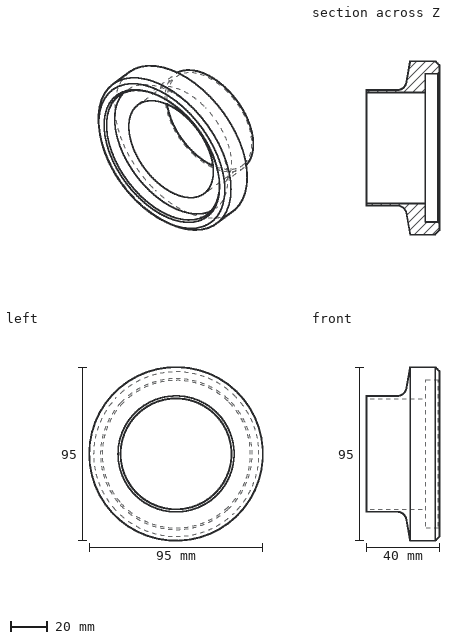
import cadquery as cq
import math

total_length = 40.0
flange_diameter = 95.0
neck_diameter = 63.5
bore_diameter = 60.5
bore_length = 32.2
recess_diameter = 80.8
recess_chamfer = 0.95
flange_start = 23.8
back_slope = 10.0
neck_fillet = 4.8
rim_chamfer = 2.4

flange_radius = flange_diameter / 2
neck_radius = neck_diameter / 2
bore_radius = bore_diameter / 2
recess_radius = recess_diameter / 2

back_root = flange_start - (flange_radius - neck_radius) * math.tan(math.radians(back_slope))

tangent_length = neck_fillet * math.tan(math.radians((90 - back_slope) / 2))
fillet_start = (back_root - tangent_length, neck_radius)
fillet_end = (
    back_root + tangent_length * math.sin(math.radians(back_slope)),
    neck_radius + tangent_length * math.cos(math.radians(back_slope)),
)

section = (
    cq.Workplane("XY")
    .moveTo(0, bore_radius)
    .lineTo(0, neck_radius)
    .lineTo(*fillet_start)
    .tangentArcPoint(fillet_end, relative=False)
    .lineTo(flange_start, flange_radius)
    .lineTo(total_length - rim_chamfer, flange_radius)
    .lineTo(total_length, flange_radius - rim_chamfer)
    .lineTo(total_length, recess_radius + recess_chamfer)
    .lineTo(total_length - recess_chamfer, recess_radius)
    .lineTo(bore_length, recess_radius)
    .lineTo(bore_length, bore_radius)
    .close()
)

result = section.revolve(360, (0, 0, 0), (1, 0, 0))